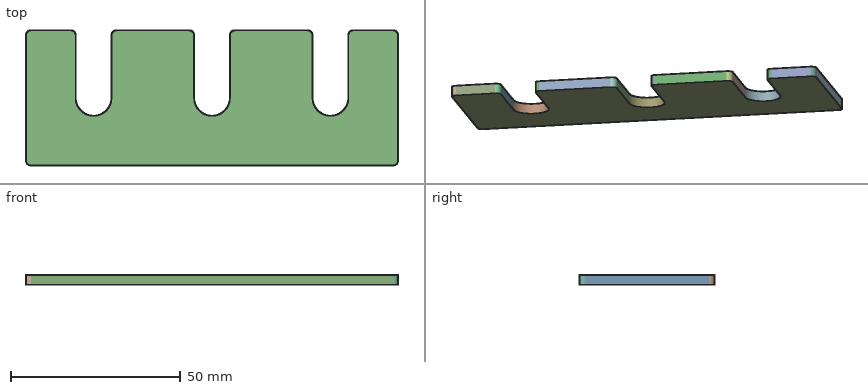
import cadquery as cq

length = 110.0
width = 40.0
thickness = 3.0
corner_radius = 1.5

slot_count = 3
slot_pitch = 35.0
slot_width = 10.5
slot_center_depth = 20.0


def make_plate():
    """Rectangular plate resting on the XY plane, centered in X and Y."""
    return cq.Workplane("XY").box(length, width, thickness, centered=(True, True, False))


def make_slot(center_x):
    """Cutter for one slot: a round end and a straight run out through the +Y edge."""
    end_y = width / 2 - slot_center_depth
    radius = slot_width / 2
    return (
        cq.Workplane("XY")
        .moveTo(center_x - radius, width / 2)
        .lineTo(center_x - radius, end_y)
        .threePointArc((center_x, end_y - radius), (center_x + radius, end_y))
        .lineTo(center_x + radius, width / 2)
        .close()
        .extrude(thickness)
    )


def round_corners(body):
    """Round every upright corner on the two long edges, slot mouths included."""
    return body.edges("|Z and (>Y or <Y)").fillet(corner_radius)


plate = make_plate()
first_slot_x = -slot_pitch * (slot_count - 1) / 2
for index in range(slot_count):
    plate = plate.cut(make_slot(first_slot_x + index * slot_pitch))

result = round_corners(plate)